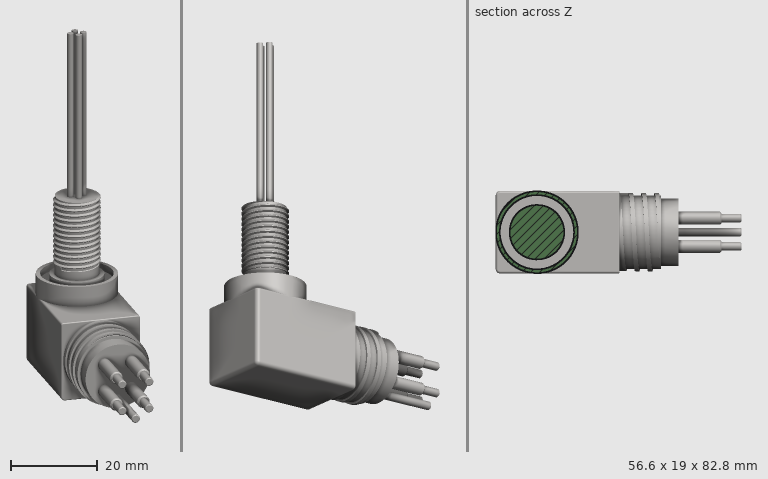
import cadquery as cq
import math


HOUSING_SIZE = 19.0
HOUSING_LEFT = -HOUSING_SIZE / 2
HOUSING_RIGHT = 19.0
CORNER_RADIUS = 1.0
TOP_EDGE_RADIUS = 0.5
PLUG_EDGE_RADIUS = 0.25

COLLAR_DIAMETER = HOUSING_SIZE
COLLAR_TOP = 23.8
GROOVE_OUTER_DIAMETER = 17.0
GROOVE_INNER_DIAMETER = 12.7
GROOVE_DEPTH = 1.7

NECK_DIAMETER = 10.42
NECK_TOP = 26.5
STEM_TOP = 42.8
STEM_ROOT_DIAMETER = 10.0
STEM_THREAD_DIAMETER = 11.0
STEM_PITCH = 1.27
STEM_CREST_WIDTH = STEM_PITCH / 8
STEM_FLANK_ANGLE = 30.0
STEM_THREAD_START_ANGLE = -60.0
STEM_THREAD_START_Z = 26.15

WIRE_DIAMETER = 1.5
WIRE_OFFSET = 1.55
WIRE_LENGTH = 40.0

PLUG_AXIS_Z = 9.85
BARREL_DIAMETER = 17.0
BARREL_END = 28.65
PLUG_THREAD_DIAMETER = 18.0
PLUG_THREAD_END = 28.2
PLUG_PITCH = 3.0
PLUG_CREST_WIDTH = 1.0
PLUG_FLANK_ANGLE = 0.0
PLUG_THREAD_START_ANGLE = 90.0
PLUG_THREAD_START_X = 20.1
NOSE_DIAMETER = 15.5
NOSE_END = 32.6

PIN_DIAMETER = 3.0
PIN_TIP_DIAMETER = 2.0
PIN_SPACING = 6.5
PIN_SHOULDER_X = 42.5
PIN_END = 47.1
PIN_SHOULDER_CHAMFER = 0.3
PIN_TIP_CHAMFER = 0.2
KEY_PIN_DROP = 5.45

OVERLAP = 0.1
ROD_EXCESS = 10.0


def z_cylinder(diameter, bottom, top):
    return cq.Workplane("XY").workplane(offset=bottom).circle(diameter / 2).extrude(top - bottom)


def grooved_rod(root_diameter, outer_diameter, pitch, crest_width, flank_angle, start_angle, start_z, end_z):
    """Over-long rod about Z with a right-hand thread groove.

    The groove is centred on start_z at start_angle (degrees from +X) and runs past end_z.
    """
    root_radius = root_diameter / 2
    outer_radius = outer_diameter / 2
    cutter_radius = outer_radius + OVERLAP
    flank_slope = math.tan(math.radians(flank_angle))
    half_mouth = (pitch - crest_width) / 2
    half_root = half_mouth - (outer_radius - root_radius) * flank_slope
    half_cutter = half_mouth + OVERLAP * flank_slope

    turns = math.ceil((end_z - start_z) / pitch) + 1
    length = turns * pitch
    helix = cq.Wire.makeHelix(pitch, length, root_radius)
    groove = (
        cq.Workplane("XZ")
        .polyline([
            (root_radius, -half_root),
            (cutter_radius, -half_cutter),
            (cutter_radius, half_cutter),
            (root_radius, half_root),
        ])
        .close()
        .sweep(cq.Workplane(obj=helix), isFrenet=True)
        .rotate((0, 0, 0), (0, 0, 1), start_angle)
        .translate((0, 0, start_z))
    )
    rod = z_cylinder(outer_diameter, start_z - ROD_EXCESS, start_z + length + ROD_EXCESS)
    return rod.cut(groove)


def housing():
    block = (
        cq.Workplane("XY")
        .box(HOUSING_RIGHT - HOUSING_LEFT, HOUSING_SIZE, HOUSING_SIZE, centered=(False, True, False))
        .translate((HOUSING_LEFT, 0, 0))
    )
    block = block.edges("(<X and |Z) or (<Z and |X) or (<X and <Z)").fillet(CORNER_RADIUS)
    block = block.faces(">Z").edges("not >X").fillet(TOP_EDGE_RADIUS)
    return block.faces(">X").edges().fillet(PLUG_EDGE_RADIUS)


def collar():
    body = z_cylinder(COLLAR_DIAMETER, HOUSING_SIZE - CORNER_RADIUS, COLLAR_TOP)
    groove = (
        cq.Workplane("XY")
        .workplane(offset=COLLAR_TOP - GROOVE_DEPTH)
        .circle(GROOVE_OUTER_DIAMETER / 2)
        .circle(GROOVE_INNER_DIAMETER / 2)
        .extrude(GROOVE_DEPTH)
    )
    return body.cut(groove)


def stem():
    neck = z_cylinder(NECK_DIAMETER, COLLAR_TOP - GROOVE_DEPTH, NECK_TOP)
    threaded_part = z_cylinder(STEM_THREAD_DIAMETER, NECK_TOP, STEM_TOP)
    rod = grooved_rod(
        STEM_ROOT_DIAMETER, STEM_THREAD_DIAMETER, STEM_PITCH, STEM_CREST_WIDTH,
        STEM_FLANK_ANGLE, STEM_THREAD_START_ANGLE, STEM_THREAD_START_Z, STEM_TOP,
    )
    return rod.intersect(neck.union(threaded_part))


def wires():
    return (
        cq.Workplane("XY")
        .workplane(offset=STEM_TOP)
        .polarArray(WIRE_OFFSET, 0, 360, 4)
        .circle(WIRE_DIAMETER / 2)
        .extrude(WIRE_LENGTH)
    )


def plug_body():
    """Threaded barrel and nose, modelled about Z and turned onto the plug axis."""
    rod = grooved_rod(
        BARREL_DIAMETER, PLUG_THREAD_DIAMETER, PLUG_PITCH, PLUG_CREST_WIDTH,
        PLUG_FLANK_ANGLE, PLUG_THREAD_START_ANGLE, PLUG_THREAD_START_X, PLUG_THREAD_END,
    )
    sleeve = rod.intersect(z_cylinder(PLUG_THREAD_DIAMETER + OVERLAP, HOUSING_RIGHT, PLUG_THREAD_END))
    shoulder = z_cylinder(BARREL_DIAMETER, PLUG_THREAD_END, BARREL_END)
    nose = z_cylinder(NOSE_DIAMETER, BARREL_END, NOSE_END)
    body = sleeve.union(shoulder).union(nose)
    return body.rotate((0, 0, 0), (0, 1, 0), 90).translate((0, 0, PLUG_AXIS_Z))


def thin_pin(y, z):
    return (
        cq.Workplane("YZ", origin=(NOSE_END, y, z))
        .circle(PIN_TIP_DIAMETER / 2)
        .extrude(PIN_END - NOSE_END)
        .faces(">X")
        .chamfer(PIN_TIP_CHAMFER)
    )


def stepped_pin(y, z):
    sleeve = (
        cq.Workplane("YZ", origin=(NOSE_END, y, z))
        .circle(PIN_DIAMETER / 2)
        .extrude(PIN_SHOULDER_X - NOSE_END)
        .faces(">X")
        .chamfer(PIN_SHOULDER_CHAMFER)
    )
    return sleeve.union(thin_pin(y, z))


def pins():
    group = thin_pin(0, PLUG_AXIS_Z - KEY_PIN_DROP)
    for y_side in (-1, 1):
        for z_side in (-1, 1):
            y = y_side * PIN_SPACING / 2
            z = PLUG_AXIS_Z + z_side * PIN_SPACING / 2
            group = group.union(stepped_pin(y, z))
    return group


result = housing().union(collar()).union(stem()).union(wires()).union(plug_body()).union(pins())